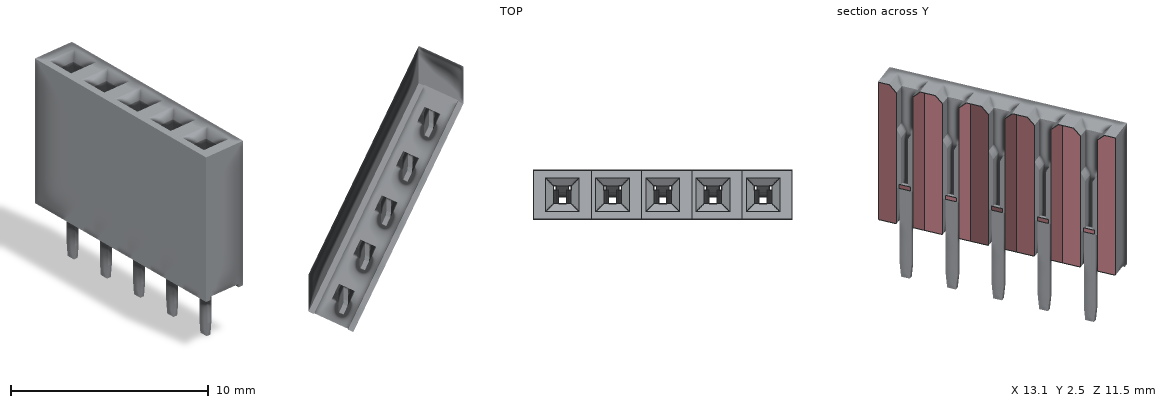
import cadquery as cq
import math

MODULE_COUNT = 5
TOTAL_LENGTH = 13.1
JOINT_STRIP = 0.4
PITCH = (TOTAL_LENGTH - JOINT_STRIP) / MODULE_COUNT
CELL_WIDTH = PITCH + JOINT_STRIP
DEPTH = 2.5
HEIGHT = 8.5

RECESS_WIDTH = 1.9
RECESS_HEIGHT = 0.2

MOUTH_SIZE = 1.7
CAVITY_SIZE = 0.89
FUNNEL_DEPTH = 0.4
FUNNEL_TAPER = math.degrees(math.atan((MOUTH_SIZE - CAVITY_SIZE) / 2 / FUNNEL_DEPTH))

PIN_LENGTH = 3.0
PIN_WIDTH = 0.64
PIN_THICKNESS = 0.25
TIP_LENGTH = 0.8
TIP_WIDTH = 0.48

LEAF_HEIGHT = 2.62
LEAF_RISE = 0.05

JAW_GAP = 0.39
JAW_BEND_GAP = 0.62
JAW_TOP = 5.9
JAW_BASE = LEAF_HEIGHT - PIN_THICKNESS
JAW_RAMP_HEIGHT = 0.21
JAW_CURVE_HEIGHT = 0.24
JAW_BACK = 0.24

FIRST_MODULE_X = -PITCH * (MODULE_COUNT - 1) / 2


def make_housing_block(left, right):
    """Solid stretch of housing between two X positions, with the recess in its underside."""
    profile = (
        cq.Workplane("YZ", origin=(left, 0, 0))
        .moveTo(-DEPTH / 2, 0)
        .lineTo(-RECESS_WIDTH / 2, 0)
        .lineTo(-RECESS_WIDTH / 2, RECESS_HEIGHT)
        .lineTo(RECESS_WIDTH / 2, RECESS_HEIGHT)
        .lineTo(RECESS_WIDTH / 2, 0)
        .lineTo(DEPTH / 2, 0)
        .lineTo(DEPTH / 2, HEIGHT)
        .lineTo(-DEPTH / 2, HEIGHT)
        .close()
    )
    return profile.extrude(right - left)


def make_cavity():
    """Square passage through the cell, widened to a funnel at the top."""
    passage = cq.Workplane("XY").rect(CAVITY_SIZE, CAVITY_SIZE).extrude(HEIGHT)
    funnel = (
        cq.Workplane("XY", origin=(0, 0, HEIGHT))
        .rect(MOUTH_SIZE, MOUTH_SIZE)
        .extrude(-FUNNEL_DEPTH, taper=FUNNEL_TAPER)
    )
    return passage.union(funnel)


def make_pin():
    """Flat pin, tapered at its tip, whose top bends over to the cavity's +Y wall."""
    blade = (
        cq.Workplane("XZ", origin=(0, PIN_THICKNESS / 2, 0))
        .moveTo(-TIP_WIDTH / 2, -PIN_LENGTH)
        .lineTo(TIP_WIDTH / 2, -PIN_LENGTH)
        .lineTo(PIN_WIDTH / 2, TIP_LENGTH - PIN_LENGTH)
        .lineTo(PIN_WIDTH / 2, LEAF_HEIGHT - PIN_THICKNESS)
        .lineTo(-PIN_WIDTH / 2, LEAF_HEIGHT - PIN_THICKNESS)
        .lineTo(-PIN_WIDTH / 2, TIP_LENGTH - PIN_LENGTH)
        .close()
        .extrude(PIN_THICKNESS)
    )
    front = -PIN_THICKNESS / 2
    back = PIN_THICKNESS / 2
    leaf = (
        cq.Workplane("YZ", origin=(-PIN_WIDTH / 2, 0, 0))
        .moveTo(front, LEAF_HEIGHT - PIN_THICKNESS)
        .radiusArc((back, LEAF_HEIGHT), PIN_THICKNESS)
        .lineTo(CAVITY_SIZE / 2, LEAF_HEIGHT + LEAF_RISE)
        .lineTo(CAVITY_SIZE / 2, LEAF_HEIGHT - PIN_THICKNESS)
        .close()
        .extrude(PIN_WIDTH)
    )
    return blade.union(leaf)


def make_jaw():
    """Jaw on the -X wall: a ramp, then a rounded stretch that ends upright."""
    ramp_bottom = JAW_TOP - JAW_RAMP_HEIGHT
    curve_bottom = ramp_bottom - JAW_CURVE_HEIGHT
    return (
        cq.Workplane("XZ", origin=(0, JAW_BACK, 0))
        .moveTo(-CAVITY_SIZE / 2, JAW_TOP)
        .lineTo(-JAW_BEND_GAP / 2, ramp_bottom)
        .tangentArcPoint((-JAW_GAP / 2, curve_bottom), relative=False)
        .lineTo(-JAW_GAP / 2, JAW_BASE)
        .lineTo(-CAVITY_SIZE / 2, JAW_BASE)
        .close()
        .extrude(JAW_BACK + CAVITY_SIZE / 2)
    )


def make_module(index):
    """One module: a housing cell with its contact, placed at its position in the row.

    Each module owns the joint strip on its +X side. The first also has one at the end of the row.
    """
    left = -CELL_WIDTH / 2
    if index > 0:
        left += JOINT_STRIP
    cell = make_housing_block(left, CELL_WIDTH / 2).cut(make_cavity())
    jaw = make_jaw()
    module = cell.union(make_pin()).union(jaw).union(jaw.mirror("YZ"))
    return module.translate((FIRST_MODULE_X + index * PITCH, 0, 0))


modules = [make_module(index) for index in range(MODULE_COUNT)]
result = cq.Compound.makeCompound([module.val() for module in modules])